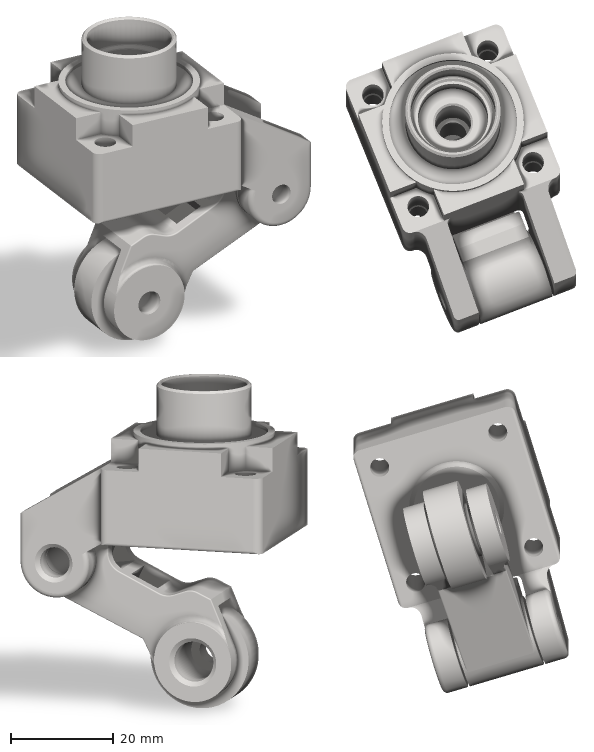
import cadquery as cq
import math


overall_height = 64.05

block_side = 33.0
block_half = block_side / 2
block_height = 19.7
block_corner_radius = 1.6
block_bottom_radius = 0.6
pocket_floor = 15.05
pocket_inset = 8.4
flange_radius = 13.85
flange_top = 20.7
flange_recess_radius = 12.5
flange_recess_depth = 0.8
mount_hole_radius = 2.1
mount_hole_lower_radius = 1.85
mount_hole_step_z = pocket_floor / 2
mount_hole_offset = 12.05

pivot_y = 26.85
pivot_z = -4.8
pivot_boss_radius = 7.0
clevis_inner = 7.95
clevis_outer = 12.8
clevis_back = pivot_y + pivot_boss_radius
clevis_shoulder_z = 4.6
clevis_underside_angle = 159
clevis_edge_radius = 0.95
clevis_outer_flare = block_half - block_corner_radius - clevis_outer
clevis_inner_flare = 0.95
pivot_hole_radius = 3.0
pivot_hole_chamfer = 0.85
pivot_tapped_radius = 2.05

sleeve_radius = 9.3
sleeve_top = 30.2
sleeve_bottom = -0.9
sleeve_top_chamfer = 0.45
sleeve_bore_radius = 8.3
sleeve_bore_chamfer = 0.4
ledge_z = sleeve_top - 5.65
ledge_inner_radius = 7.8
seat_radius = 7.35
seat_z = ledge_z - (ledge_inner_radius - seat_radius)
well_radius = 6.85
well_z = sleeve_top - 10.1
port_radius = 3.5
port_chamfer = 0.4
port_z = 9.6
outlet_radius = 2.6

roller_y = -0.2
roller_radius = 10.0
roller_z = sleeve_top - overall_height + roller_radius
roller_half_width = 3.45
hub_radius = 5.4
hub_half_width = 4.05
axle_hole_radius = 4.0
axle_hole_chamfer = 0.85
axle_tapped_radius = 2.45

arm_half_width = 7.0
arm_edge_radius = 0.25
pivot_hub_half_width = 7.5
tail_front_y = 17.5
tail_top_z = 3.2
tail_slope_end = (20.1, tail_top_z)
tail_fillet_radius = 1.6
tail_fillet_start_angle = 108
tail_fillet_end_angle = 210
arm_top_corner = (tail_front_y, -5.8)
arm_top_radius = 4.0
bump_valley = (5.7, -11.45)
bump_valley_radius = 4.0
bump_crest = (0.5, -9.6)
bump_crest_radius = 3.3
fork_shoulder = (-3.45, -11.4)
arm_elbow = (10.45, -20.05)
fork_half_width = 8.45
fork_boss_radius = 7.9
fork_boss_fillet = 1.15
fork_slot_half_width = 4.35
fork_slot_radius = 11.45

lever_pocket_half_width = 4.5
tail_pocket_lip = (15.4, -6.85)
tail_pocket_corner = (20.8, -7.6)
tail_pocket_top = (17.3, 1.55)
arm_pocket_start = (13.5, -7.75)
arm_pocket_length = 5.95
arm_pocket_depth = 3.2

pivot = (pivot_y, pivot_z)
roller_axis = (roller_y, roller_z)
arm_slope = (arm_top_corner[1] - bump_valley[1]) / (arm_top_corner[0] - bump_valley[0])


def polar(center, radius, degrees):
    """Point at an angle on a circle, counted from +Y towards +Z."""
    angle = math.radians(degrees)
    return (center[0] + radius * math.cos(angle), center[1] + radius * math.sin(angle))


def tangent_angle(center, radius, point, side):
    """Angle on a circle where a line from an outside point touches it, on one side."""
    dy = point[0] - center[0]
    dz = point[1] - center[1]
    spread = math.acos(radius / math.hypot(dy, dz))
    return math.degrees(math.atan2(dz, dy) + side * spread)


def rounded_corner(before, corner, after, radius):
    """Start, middle and end of the arc that rounds a corner between two straight lines."""
    into = math.atan2(before[1] - corner[1], before[0] - corner[0])
    out = math.atan2(after[1] - corner[1], after[0] - corner[0])
    half = abs(math.remainder(out - into, 2 * math.pi)) / 2
    bisector = into + math.remainder(out - into, 2 * math.pi) / 2
    setback = radius / math.tan(half)
    start = polar(corner, setback, math.degrees(into))
    middle = polar(corner, radius / math.sin(half) - radius, math.degrees(bisector))
    end = polar(corner, setback, math.degrees(out))
    return start, middle, end


def side_prism(outline, x_from, x_to):
    """Extrude a (Y, Z) outline between two X positions."""
    return outline.extrude(x_to - x_from).translate((x_from, 0, 0))


def x_cylinder(center, radius, x_from, x_to):
    return side_prism(cq.Workplane("YZ").center(*center).circle(radius), x_from, x_to)


def z_cylinder(radius, z_from, z_to):
    return cq.Workplane("XY", origin=(0, 0, z_from)).circle(radius).extrude(z_to - z_from)


def stepped_axle_hole(center, half_width, radius, chamfer, tapped_radius):
    """Hole along X, countersunk on the -X side and narrower in its +X half."""
    wide = x_cylinder(center, radius, -half_width, 0)
    narrow = x_cylinder(center, tapped_radius, 0, half_width)
    mouth = cq.Vector(-half_width, *center)
    countersink = cq.Solid.makeCone(radius + chamfer, radius, chamfer, mouth, cq.Vector(1, 0, 0))
    return wide.union(narrow).union(cq.Workplane(countersink))


def housing_block():
    block = cq.Workplane("XY").rect(block_side, block_side).extrude(block_height)
    block = block.edges("|Z").fillet(block_corner_radius)
    side_rounding = (
        cq.Workplane("XY").rect(block_side, block_side).extrude(block_height)
        .edges("|Y and <Z").fillet(block_bottom_radius)
    )
    return block.intersect(side_rounding)


def corner_pockets():
    size = block_half - pocket_inset
    middle = pocket_inset + size / 2
    centers = [(x * middle, y * middle) for x in (-1, 1) for y in (-1, 1)]
    return (
        cq.Workplane("XY", origin=(0, 0, pocket_floor)).pushPoints(centers)
        .rect(size, size).extrude(block_height - pocket_floor)
    )


def mount_holes():
    """Four through holes in the corners, each narrowing at a short conical step."""
    step_height = mount_hole_radius - mount_hole_lower_radius
    half_section = [
        (0, 0),
        (mount_hole_lower_radius, 0),
        (mount_hole_lower_radius, mount_hole_step_z - step_height),
        (mount_hole_radius, mount_hole_step_z),
        (mount_hole_radius, pocket_floor),
        (0, pocket_floor),
    ]
    hole = cq.Workplane("XZ").polyline(half_section).close().revolve(360, (0, 0), (0, 1)).val()
    offsets = [(x * mount_hole_offset, y * mount_hole_offset) for x in (-1, 1) for y in (-1, 1)]
    return cq.Workplane("XY").pushPoints(offsets).eachpoint(lambda place: hole.located(place))


def clevis_outline():
    """Side outline of a clevis arm, from the block to the boss around the pivot."""
    return (
        cq.Workplane("YZ")
        .moveTo(block_half, 0)
        .lineTo(block_half, pocket_floor)
        .lineTo(clevis_back, clevis_shoulder_z)
        .lineTo(clevis_back, pivot_z)
        .threePointArc(
            polar(pivot, pivot_boss_radius, -90),
            polar(pivot, pivot_boss_radius, clevis_underside_angle),
        )
        .close()
    )


def flare(x, radius, side):
    """Concave fillet between an arm face at x and the block, spreading to the given side."""
    tip = x + side * radius
    middle = radius * (1 - math.sqrt(0.5))
    corner = (
        cq.Workplane("XY", origin=(0, 0, -block_height))
        .moveTo(x, block_half)
        .lineTo(tip, block_half)
        .threePointArc((x + side * middle, block_half + middle), (x, block_half + radius))
        .close()
        .extrude(2 * block_height)
    )
    return corner.intersect(side_prism(clevis_outline(), 0, block_half))


def clevis_arm():
    arm = side_prism(clevis_outline(), clevis_inner, clevis_outer)
    arm = arm.faces(">X").edges(">Y or %CIRCLE").fillet(clevis_edge_radius)
    return (
        arm.union(flare(clevis_outer, clevis_outer_flare, 1))
        .union(flare(clevis_inner, clevis_inner_flare, -1))
    )


def make_housing():
    arm = clevis_arm()
    body = housing_block().cut(corner_pockets())
    body = body.union(z_cylinder(flange_radius, pocket_floor, flange_top))
    body = body.union(arm).union(arm.mirror("YZ"))
    body = body.cut(z_cylinder(flange_recess_radius, flange_top - flange_recess_depth, flange_top))
    body = body.cut(z_cylinder(sleeve_radius, 0, flange_top))
    body = body.cut(mount_holes())
    return body.cut(
        stepped_axle_hole(pivot, clevis_outer, pivot_hole_radius, pivot_hole_chamfer,
                          pivot_tapped_radius)
    )


def make_sleeve():
    """Turned sleeve with a stepped bore, filling the housing's bore."""
    half_section = [
        (outlet_radius, sleeve_bottom),
        (sleeve_radius + sleeve_bottom, sleeve_bottom),
        (sleeve_radius, 0),
        (sleeve_radius, sleeve_top - sleeve_top_chamfer),
        (sleeve_radius - sleeve_top_chamfer, sleeve_top),
        (sleeve_bore_radius + sleeve_bore_chamfer, sleeve_top),
        (sleeve_bore_radius, sleeve_top - sleeve_bore_chamfer),
        (sleeve_bore_radius, ledge_z),
        (ledge_inner_radius, ledge_z),
        (seat_radius, seat_z),
        (well_radius, seat_z),
        (well_radius, well_z),
        (port_radius + port_chamfer, well_z),
        (port_radius, well_z - port_chamfer),
        (port_radius, port_z),
        (outlet_radius, port_z),
    ]
    return cq.Workplane("XZ").polyline(half_section).close().revolve(360, (0, 0), (0, 1))


def lever_outline():
    """Side outline of the lever: tail, bumped upper edge, fork end, elbow and pivot hub."""
    tail_center = polar(pivot, pivot_boss_radius + tail_fillet_radius, tail_fillet_start_angle)
    tail_end = polar(tail_center, tail_fillet_radius, tail_fillet_end_angle)
    tail_middle_angle = (tail_fillet_end_angle + tail_fillet_start_angle + 180) / 2
    front = tangent_angle(roller_axis, fork_boss_radius, fork_shoulder, 1)
    back = tangent_angle(roller_axis, fork_boss_radius, arm_elbow, -1)
    hub = tangent_angle(pivot, pivot_boss_radius, arm_elbow, 1)
    tail_top = (tail_front_y, tail_top_z)
    arm_top = rounded_corner(tail_top, arm_top_corner, bump_valley, arm_top_radius)
    valley = rounded_corner(arm_top_corner, bump_valley, bump_crest, bump_valley_radius)
    crest = rounded_corner(bump_valley, bump_crest, fork_shoulder, bump_crest_radius)
    return (
        cq.Workplane("YZ")
        .moveTo(*polar(pivot, pivot_boss_radius, tail_fillet_start_angle))
        .threePointArc(polar(tail_center, tail_fillet_radius, tail_middle_angle), tail_end)
        .lineTo(*tail_slope_end)
        .lineTo(*tail_top)
        .lineTo(*arm_top[0]).threePointArc(*arm_top[1:])
        .lineTo(*valley[0]).threePointArc(*valley[1:])
        .lineTo(*crest[0]).threePointArc(*crest[1:])
        .lineTo(*fork_shoulder)
        .lineTo(*polar(roller_axis, fork_boss_radius, front))
        .threePointArc(
            polar(roller_axis, fork_boss_radius, -90),
            polar(roller_axis, fork_boss_radius, back),
        )
        .lineTo(*arm_elbow)
        .lineTo(*polar(pivot, pivot_boss_radius, hub))
        .threePointArc(
            polar(pivot, pivot_boss_radius, 0),
            polar(pivot, pivot_boss_radius, tail_fillet_start_angle),
        )
        .close()
    )


def fork_bosses():
    """Bosses around the axle holes, blended into the arm and trimmed to the lever outline."""
    boss = x_cylinder(roller_axis, fork_boss_radius, -fork_half_width, fork_half_width)
    blend_top = arm_half_width + fork_boss_fillet
    rim = fork_boss_radius + fork_boss_fillet
    inset = fork_boss_fillet * math.sqrt(0.5)
    blend = (
        cq.Workplane("XY")
        .moveTo(0, 0)
        .lineTo(0, rim)
        .lineTo(arm_half_width, rim)
        .threePointArc((blend_top - inset, rim - inset), (blend_top, fork_boss_radius))
        .lineTo(blend_top, 0)
        .close()
        .revolve(360, (0, 0), (1, 0))
        .translate((0, roller_y, roller_z))
    )
    bosses = boss.union(blend).union(blend.mirror("YZ"))
    return bosses.intersect(side_prism(lever_outline(), -fork_half_width, fork_half_width))


def tail_pocket():
    """Pocket in the tail's front face, with a leaning back wall."""
    outline = (
        cq.Workplane("YZ")
        .polyline([
            tail_pocket_lip,
            tail_pocket_corner,
            tail_pocket_top,
            (tail_pocket_lip[0], tail_pocket_top[1]),
        ])
        .close()
    )
    return side_prism(outline, -lever_pocket_half_width, lever_pocket_half_width)


def arm_pocket():
    """Rectangular pocket sunk square into the arm's sloping upper face."""
    slope_angle = math.degrees(math.atan(arm_slope))
    return (
        cq.Workplane("XY")
        .box(2 * lever_pocket_half_width, arm_pocket_length, 2 * arm_pocket_depth)
        .translate((0, -arm_pocket_length / 2, 0))
        .rotate((0, 0, 0), (1, 0, 0), slope_angle)
        .translate((0, *arm_pocket_start))
    )


def make_lever():
    body = side_prism(lever_outline(), -arm_half_width, arm_half_width)
    body = body.faces("<X or >X").edges().fillet(arm_edge_radius)
    hub = x_cylinder(pivot, pivot_boss_radius, -pivot_hub_half_width, pivot_hub_half_width)
    body = body.union(hub)
    body = body.union(fork_bosses())
    body = body.cut(tail_pocket()).cut(arm_pocket())
    body = body.cut(
        x_cylinder(roller_axis, fork_slot_radius, -fork_slot_half_width, fork_slot_half_width)
    )
    body = body.cut(
        x_cylinder(pivot, pivot_hole_radius, -pivot_hub_half_width, pivot_hub_half_width)
    )
    return body.cut(
        stepped_axle_hole(roller_axis, fork_half_width, axle_hole_radius, axle_hole_chamfer,
                          axle_tapped_radius)
    )


def make_roller():
    """Roller with a wider hub that rests against the -X fork arm."""
    roller = x_cylinder(roller_axis, roller_radius, -roller_half_width, roller_half_width)
    roller = roller.union(x_cylinder(roller_axis, hub_radius, -hub_half_width, hub_half_width))
    roller = roller.cut(x_cylinder(roller_axis, axle_hole_radius, -hub_half_width, hub_half_width))
    return roller.translate((hub_half_width - fork_slot_half_width, 0, 0))


housing = make_housing()
sleeve = make_sleeve()
lever = make_lever()
roller = make_roller()
bodies = [body.solids().val() for body in (housing, sleeve, lever, roller)]
result = cq.Compound.makeCompound([*bodies])